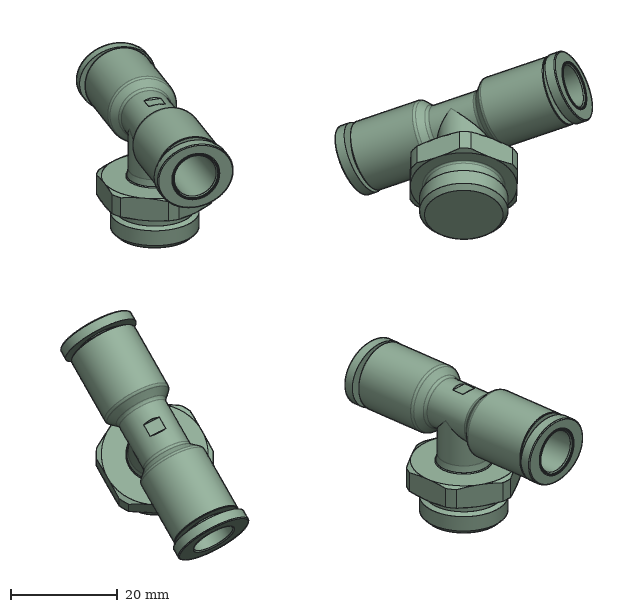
import cadquery as cq
import math


overall_length = 47.2
marking_height = 0.2
marking_inner_radius = 4.5
marking_outer_radius = 4.7
collar_width = 15.0
collar_height = 13.05
collar_thickness = 2.1
collar_edge = 0.2
collar_gap = 0.85
sleeve_radius = 4.8

bore_radius = 4.15
bore_mouth_chamfer = 0.25

body_radius = 6.8
body_edge = 0.15
waist_radius = 5.0
shoulder_start = 6.95
shoulder_outer_fillet = 0.8
shoulder_inner_fillet = 1.0

recess_floor_length = 2.55
recess_top_length = 3.0
recess_depth = 0.3

flare_top = 8.95
hex_top = 10.5
hex_height = 4.63
neck_end = 17.45
thread_start = 18.0
branch_bottom = 22.0
stem_radius = waist_radius
flare_radius = 5.25
flare_foot = 0.2
hex_across_flats = 20.0
hex_corner_radius = 11.0
hex_face_radius = hex_across_flats / 2
hex_edge_drop = 0.35
neck_radius = 7.35
neck_fillet = 0.4
thread_radius = 8.3
thread_chamfer = 0.95

rim_margin = 0.05

collar_face = (overall_length - marking_height) / 2
collar_back = collar_face - collar_thickness
body_end = collar_back - collar_gap
shoulder_end = shoulder_start - (body_radius - waist_radius)
bore_depth = collar_face - shoulder_start
hex_bottom = hex_top + hex_height


def along_x(start):
    """Workplane across the run axis at x = start, facing +X, with local x along Y."""
    return cq.Workplane("YZ", origin=(start, 0, 0))


def both_ends(half):
    """A +X half together with its mirror image on -X."""
    return half.union(half.mirror("YZ"))


def rim_at(solid, x, radius):
    """The circular edge of a run solid at the given place along X."""
    reach = radius + rim_margin
    box = cq.selectors.BoxSelector(
        (x - rim_margin, -reach, -reach), (x + rim_margin, reach, reach), boundingbox=True
    )
    return solid.edges(box).edges("%CIRCLE")


def run_body():
    """Waist, 45 degree shoulders and the two large tube housings."""
    half = (
        cq.Workplane("XY")
        .moveTo(0, 0)
        .lineTo(0, waist_radius)
        .lineTo(shoulder_end, waist_radius)
        .lineTo(shoulder_start, body_radius)
        .lineTo(body_end, body_radius)
        .lineTo(body_end, 0)
        .close()
        .revolve(360, (0, 0, 0), (1, 0, 0))
    )
    half = half.faces(">X").edges("%CIRCLE").chamfer(body_edge)
    half = rim_at(half, shoulder_start, body_radius).fillet(shoulder_outer_fillet)
    half = rim_at(half, shoulder_end, waist_radius).fillet(shoulder_inner_fillet)
    return both_ends(half)


def collars():
    """Oval release collars on their round sleeves."""
    sleeve = along_x(body_end).circle(sleeve_radius).extrude(collar_gap)
    collar = along_x(collar_back).ellipse(collar_width / 2, collar_height / 2).extrude(collar_thickness)
    collar = collar.faces(">X").edges().chamfer(collar_edge)
    return both_ends(sleeve.union(collar))


def marking_band():
    """Thin raised band on the face of the +X collar."""
    return along_x(collar_face).circle(marking_outer_radius).circle(marking_inner_radius).extrude(marking_height)


def tube_bores():
    """Blind tube bores with a chamfered mouth."""
    bore = along_x(collar_face - bore_depth).circle(bore_radius).extrude(bore_depth)
    mouth = cq.Workplane(
        cq.Solid.makeCone(
            bore_radius,
            bore_radius + bore_mouth_chamfer,
            bore_mouth_chamfer,
            cq.Vector(collar_face - bore_mouth_chamfer, 0, 0),
            cq.Vector(1, 0, 0),
        )
    )
    return both_ends(bore.union(mouth))


def top_recess():
    """Flat-floored notch with sloping ends, cut across the top of the waist."""
    floor_z = waist_radius - recess_depth
    return (
        cq.Workplane("XZ")
        .moveTo(-recess_floor_length / 2, floor_z)
        .lineTo(recess_floor_length / 2, floor_z)
        .lineTo(recess_top_length / 2, waist_radius)
        .lineTo(-recess_top_length / 2, waist_radius)
        .close()
        .extrude(waist_radius, both=True)
    )


def branch_stem():
    """Turned stem, flare, grooved neck and thread."""
    return (
        cq.Workplane("XZ")
        .moveTo(0, 0)
        .lineTo(stem_radius, 0)
        .lineTo(stem_radius, -flare_top)
        .lineTo(flare_radius, -hex_top + flare_foot)
        .lineTo(flare_radius + flare_foot, -hex_top)
        .lineTo(neck_radius + neck_fillet, -hex_top)
        .lineTo(neck_radius + neck_fillet, -hex_bottom)
        .radiusArc((neck_radius, -hex_bottom - neck_fillet), -neck_fillet)
        .lineTo(neck_radius, -neck_end)
        .lineTo(thread_radius, -thread_start)
        .lineTo(thread_radius, -branch_bottom + thread_chamfer)
        .lineTo(thread_radius - thread_chamfer, -branch_bottom)
        .lineTo(0, -branch_bottom)
        .close()
        .revolve(360, (0, 0, 0), (0, 1, 0))
    )


def hexagon():
    """Wrench hexagon with turned corners and bevelled faces; two flats face +Y and -Y."""
    prism = (
        cq.Workplane("XY", origin=(0, 0, -hex_bottom))
        .polygon(6, hex_across_flats / math.cos(math.pi / 6))
        .extrude(hex_height)
    )
    turned_blank = (
        cq.Workplane("XZ")
        .moveTo(0, -hex_top)
        .lineTo(hex_face_radius, -hex_top)
        .lineTo(hex_corner_radius, -hex_top - hex_edge_drop)
        .lineTo(hex_corner_radius, -hex_bottom + hex_edge_drop)
        .lineTo(hex_face_radius, -hex_bottom)
        .lineTo(0, -hex_bottom)
        .close()
        .revolve(360, (0, 0, 0), (0, 1, 0))
    )
    return prism.intersect(turned_blank)


result = (
    run_body()
    .union(branch_stem())
    .union(hexagon())
    .union(collars())
    .union(marking_band())
    .cut(top_recess())
    .cut(tube_bores())
)